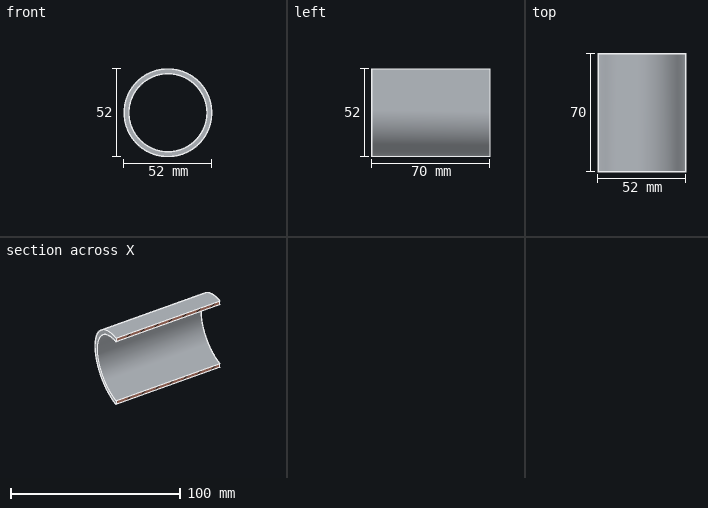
import cadquery as cq

outer_diameter = 52.0
wall_thickness = 3.0
length = 70.0

inner_diameter = outer_diameter - 2 * wall_thickness


def make_tube():
    """Ring drawn on the +Y end plane and extruded towards -Y."""
    end_plane = cq.Workplane("XZ", origin=(0, length / 2, 0))
    ring = end_plane.circle(outer_diameter / 2).circle(inner_diameter / 2)
    return ring.extrude(length)


result = make_tube()